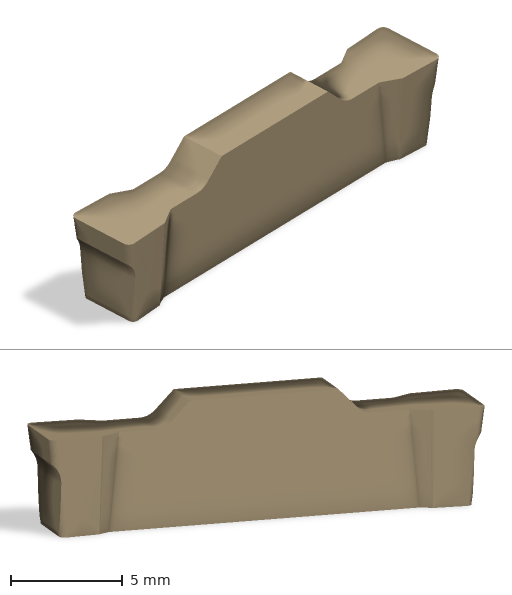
import cadquery as cq
import math

length = 20.6
height = 5.77
half_length = length / 2

web_width = 2.3
head_height = 4.57
ridge_half_length = 3.5
ridge_angle = 45.0
ridge_root_radius = 1.05

top_half_width = 1.802
bottom_half_width = 1.55
end_draft = 7.0
top_corner_radius = 0.33
bottom_corner_radius = 0.27
side_back_taper = 0.1

top_bends = (2.47, 2.58, 3.45)
bottom_bends = (2.4, 2.47, 2.99)
bend_narrowing = 0.06

relief_depth = 0.54
relief_start = 1.17
relief_full = 2.04


def make_web():
    """Web and ridge extruded across the width, with rounded ridge roots."""
    ridge_rise = height - head_height
    root_y = ridge_half_length + ridge_rise / math.tan(math.radians(ridge_angle))
    web_end = half_length - top_bends[0]
    profile = [
        (-web_end, 0),
        (web_end, 0),
        (web_end, head_height),
        (root_y, head_height),
        (ridge_half_length, height),
        (-ridge_half_length, height),
        (-root_y, head_height),
        (-web_end, head_height),
    ]
    web = cq.Workplane("YZ").polyline(profile).close().extrude(web_width / 2, both=True)
    for side in (-1, 1):
        root = cq.selectors.NearestToPointSelector((0, side * root_y, head_height))
        web = web.edges("|X").edges(root).fillet(ridge_root_radius)
    return web


def head_outline(z, half_width, end_y, radius, bends):
    """Closed plan outline of the +Y head at height z."""
    corner_y = end_y - radius
    corner_x = half_width - radius
    arc_x = corner_x + radius * math.sqrt(0.5)
    arc_y = corner_y + radius * math.sqrt(0.5)
    bend_x = half_width - side_back_taper
    inner_x = bend_x - bend_narrowing
    bend_y, inner_y, root_y = [half_length - distance for distance in bends]
    sketch = cq.Workplane("XY", origin=(0, 0, z)).moveTo(web_width / 2, root_y)
    sketch = sketch.lineTo(inner_x, inner_y).lineTo(bend_x, bend_y).lineTo(half_width, corner_y)
    sketch = sketch.threePointArc((arc_x, arc_y), (corner_x, end_y)).lineTo(-corner_x, end_y)
    sketch = sketch.threePointArc((-arc_x, arc_y), (-half_width, corner_y))
    sketch = sketch.lineTo(-bend_x, bend_y).lineTo(-inner_x, inner_y)
    return sketch.lineTo(-web_width / 2, root_y).close().val()


def make_relief():
    """Cutter for the +Y end: a vertical face that curves outward at its top."""
    face_y = half_length - relief_depth
    start_y = half_length - relief_start * math.tan(math.radians(end_draft))
    rise = relief_full - relief_start
    run = start_y - face_y
    radius = (rise**2 + run**2) / (2 * run)
    half_angle = math.atan2(run, rise)
    arc_bottom_z = head_height - relief_full
    arc_middle = (
        face_y + radius * (1 - math.cos(half_angle)),
        arc_bottom_z + radius * math.sin(half_angle),
    )
    return (
        cq.Workplane("YZ")
        .moveTo(face_y, 0)
        .lineTo(face_y, arc_bottom_z)
        .threePointArc(arc_middle, (start_y, head_height - relief_start))
        .lineTo(half_length, head_height - relief_start)
        .lineTo(half_length, 0)
        .close()
        .extrude(top_half_width, both=True)
    )


def make_head():
    """Tapered +Y head with its end relief."""
    bottom_end = half_length - head_height * math.tan(math.radians(end_draft))
    bottom = head_outline(0, bottom_half_width, bottom_end, bottom_corner_radius, bottom_bends)
    top = head_outline(head_height, top_half_width, half_length, top_corner_radius, top_bends)
    block = cq.Solid.makeLoft([bottom, top], True)
    return cq.Workplane(block).cut(make_relief())


head = make_head()
result = make_web().union(head).union(head.mirror("XZ"))